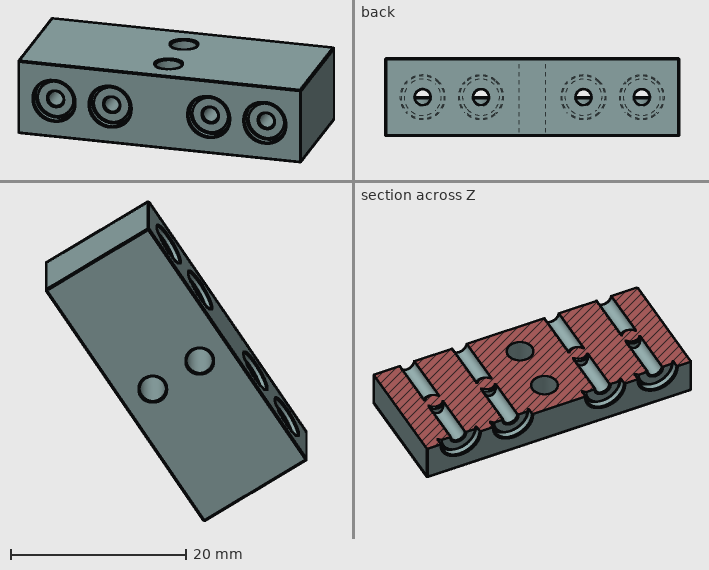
import cadquery as cq

LENGTH = 33.53
WIDTH = 13.97
HEIGHT = 8.89
EDGE_CHAMFER = 0.127
FRONT_Y = -WIDTH / 2
BOTTOM_Z = -HEIGHT / 2

MOUNT_DIAMETER = 3.0
MOUNT_SPACING = 6.35
MOUNT_CHAMFER = 0.15

INNER_PORT_X = 5.84
PORT_PITCH = 6.65
PORT_XS = [side * x for side in (-1, 1) for x in (INNER_PORT_X, INNER_PORT_X + PORT_PITCH)]
RECESS_DIAMETER = 4.88
RECESS_CHAMFER = 0.127
BUSHING_CHAMFER = 0.35
BUSHING_FACE_DEPTH = 0.635
BORE_DIAMETER = 1.8
BORE_CHAMFER = 0.127

PIN_DIAMETER = 2.36
PIN_CHAMFER = 0.2
PIN_Y = 0.0
PIN_TOP_Z = 0.04


def make_block():
    return cq.Workplane("XY").box(LENGTH, WIDTH, HEIGHT).edges().chamfer(EDGE_CHAMFER)


def mounting_hole_cutter(y):
    """Through hole with a chamfered mouth at the top and at the bottom."""
    radius = MOUNT_DIAMETER / 2
    mouth_radius = radius + MOUNT_CHAMFER
    top = HEIGHT / 2
    profile = [
        (0, -top),
        (mouth_radius, -top),
        (radius, -top + MOUNT_CHAMFER),
        (radius, top - MOUNT_CHAMFER),
        (mouth_radius, top),
        (0, top),
    ]
    hole = cq.Workplane("XZ").polyline(profile).close().revolve(360, (0, 0, 0), (0, 1, 0))
    return hole.translate((0, y, 0))


def port_cutter(x):
    """Chamfered recess, V groove around the bushing face, and the bore behind it."""
    bore = BORE_DIAMETER / 2
    recess = RECESS_DIAMETER / 2
    bushing_face_y = FRONT_Y + BUSHING_FACE_DEPTH
    profile = [
        (0, FRONT_Y),
        (recess + RECESS_CHAMFER, FRONT_Y),
        (recess, FRONT_Y + RECESS_CHAMFER),
        (recess, bushing_face_y + BUSHING_CHAMFER),
        (recess - BUSHING_CHAMFER, bushing_face_y),
        (bore + BORE_CHAMFER, bushing_face_y),
        (bore, bushing_face_y + BORE_CHAMFER),
        (bore, WIDTH / 2),
        (0, WIDTH / 2),
    ]
    port = cq.Workplane("XY").polyline(profile).close().revolve(360, (0, 0, 0), (0, 1, 0))
    return port.translate((x, 0, 0))


def make_pin(x):
    """Upright pin with a chamfered top, standing across a bore."""
    pin_length = PIN_TOP_Z - BOTTOM_Z
    pin = cq.Workplane("XY").circle(PIN_DIAMETER / 2).extrude(pin_length)
    return pin.faces(">Z").chamfer(PIN_CHAMFER).translate((x, PIN_Y, BOTTOM_Z))


def make_part():
    part = make_block()
    for side in (-1, 1):
        part = part.cut(mounting_hole_cutter(side * MOUNT_SPACING / 2))
    for x in PORT_XS:
        part = part.cut(port_cutter(x)).union(make_pin(x))
    return part


result = make_part()